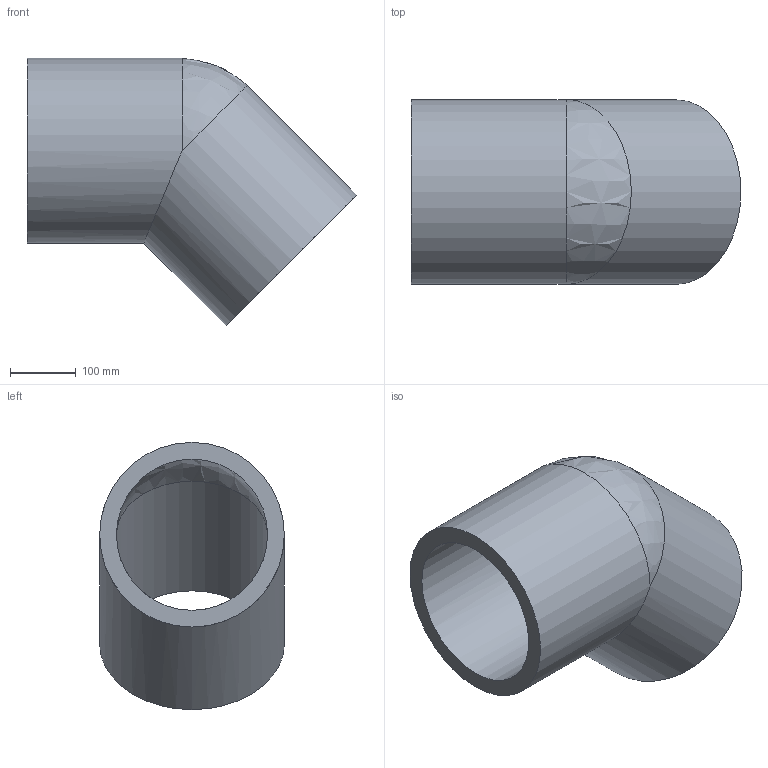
import cadquery as cq

OUTER_DIAMETER = 280.0
BORE_DIAMETER = 229.2
LEG_LENGTH = 235.0
BEND_ANGLE = 45.0


def straight_leg(radius):
    """Solid cylinder along +X, starting where the leg axes meet."""
    return cq.Workplane("YZ").circle(radius).extrude(LEG_LENGTH)


def spherical_corner(radius):
    """Wedge of a ball that fills the gap on the outside of the bend."""
    return (
        cq.Workplane("YZ")
        .moveTo(-radius, 0)
        .threePointArc((0, radius), (radius, 0))
        .close()
        .revolve(BEND_ANGLE, (0, 0), (1, 0))
    )


def elbow_solid(diameter):
    """Solid elbow: a level leg, a sloping leg and the corner between them."""
    radius = diameter / 2
    level_leg = straight_leg(radius).translate((-LEG_LENGTH, 0, 0))
    sloping_leg = straight_leg(radius).rotate((0, 0, 0), (0, 1, 0), BEND_ANGLE)
    return level_leg.union(sloping_leg).union(spherical_corner(radius))


result = elbow_solid(OUTER_DIAMETER).cut(elbow_solid(BORE_DIAMETER))